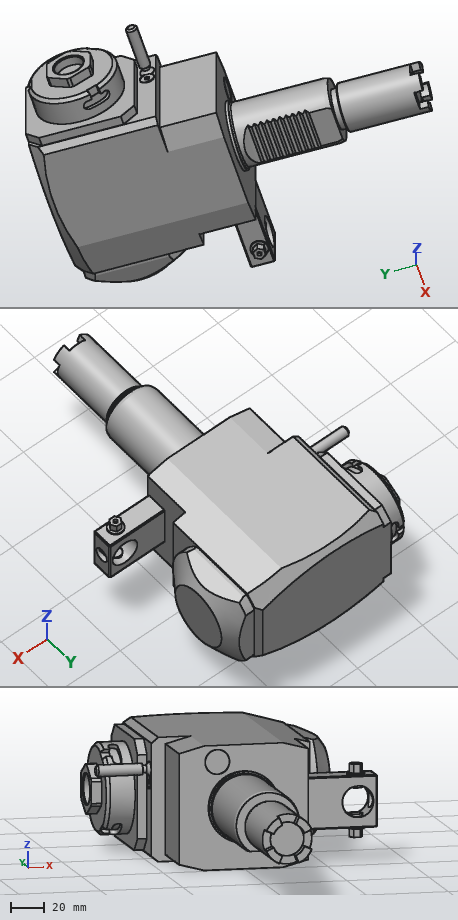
import cadquery as cq
import math


half_height = 37.5
back_y = 114.0
step_y = 35.0
head_left_x = -48.0
head_right_x = 48.6
base_half_width = 39.4
flat_half_width = 24.0
side_slope = math.tan(math.radians(15))
edge_chamfer_x = 4.2
edge_chamfer_z = 3.5
back_right_chamfer = 3.5
crown_center_x = -9.5
crown_depth = 3.7
crown_radius = 187.5
marker_x = -16.0
marker_z = 27.5
marker_radius = 7.5
marker_depth = 0.5

spindle_y = 80.1
plate_left_x = -53.7
plate_front_y = 46.5
plate_half_height = 33.5
plate_chamfer = 8.3
collar_left_x = -70.9
collar_radius = 27.5
collar_chamfer = 2.0
key_slot_count = 3
key_slot_floor_radius = 24.8
key_slot_notch_width = 6.5
key_slot_length = 18.0
key_slot_width = 5.5
key_slot_center_x = -62.5
hex_left_x = -77.0
hex_across_flats = 27.0
hex_corner_radius = 15.0
hex_bore_radius = 9.0
hex_bore_chamfer = 0.7
hex_bore_depth = 6.3

cap_radius = 37.5
cap_end_radius = 21.5
cap_cone_x = 55.3
cap_right_x = 66.7
cap_back_y = 110.5
cap_half_height = 29.6
cap_slope_x = 51.2

pin_y = 40.3
pin_z = 17.8
pin_left_x = -80.5
pin_right_x = -52.5
pin_radius = 3.5
pin_chamfer = 1.2
pin_neck_radius = 2.3
pin_foot_x = -50.0
pin_foot_radius = 4.5
plug_z = 10.2
plug_height = 0.5
plug_hole_radius = 1.5

flange_radius = 21.5
flange_length = 1.9
shank_radius = 20.0
shank_root_radius = 20.4
shank_root_y = -3.0
shank_end_y = -62.8
shank_end_chamfer_length = 2.8
shank_end_chamfer_depth = 0.7
neck_radius = 12.5
flat_z = -15.7
flat_start_y = -9.7
flat_run_in_slope = 1.1
tooth_pitch = 4.0
tooth_count = 10
tooth_depth = 1.5

shaft_start_y = -66.7
shaft_end_y = -117.6
shaft_radius = 15.0
shaft_chamfer = 0.7
claw_length = 5.0
claw_inner_radius = 10.2
claw_bore_depth = claw_length + 0.5
claw_slot_count = 4
claw_slot_half_angle = math.radians(23.5)

bar_right_x = 81.7
bar_front_y = 1.0
bar_back_y = 16.0
bar_half_height = 15.7
bar_chamfer = 0.7
bar_bore_x = 70.0
bar_bore_radius = 9.5
outlet_radius = 4.9
screw_y = 7.2
screw_radius = 4.2
screw_tip_z = 7.9
washer_radius = 5.3
washer_height = 1.0
head_radius = 4.0
head_top_z = 22.0
socket_radius = 1.5
socket_depth = 2.3


def block(x0, x1, y0, y1, z0, z1):
    return cq.Workplane("XY").box(x1 - x0, y1 - y0, z1 - z0, centered=False).translate((x0, y0, z0))


def turned_x(points, y, z):
    """Solid turned about a line along X; points are (x, radius)."""
    profile = cq.Workplane("XY").polyline(points).close()
    return profile.revolve(360, (0, 0, 0), (1, 0, 0)).translate((0, y, z))


def cylinder_x(radius, x0, x1, y, z):
    return cq.Workplane("YZ", origin=(x0, y, z)).circle(radius).extrude(x1 - x0)


def cylinder_z(radius, z0, z1, x, y):
    return cq.Workplane("XY", origin=(x, y, z0)).circle(radius).extrude(z1 - z0)


def cylinder_y(radius, y0, y1, x, z):
    return cq.Workplane("XZ", origin=(x, y1, z)).circle(radius).extrude(y1 - y0)


def extruded_y(points, y0, y1):
    """Prism along Y; points are (x, z) of its upper half, mirrored about Z = 0."""
    outline = points + [(x, -z) for x, z in reversed(points)]
    return cq.Workplane("XZ", origin=(0, y1, 0)).polyline(outline).close().extrude(y1 - y0)


def slope_z(x):
    """Height of the sloping side faces at distance x from the shank axis."""
    return half_height - (x - flat_half_width) * side_slope


def make_housing():
    head = extruded_y(
        [
            (head_left_x, half_height - edge_chamfer_z),
            (head_left_x + edge_chamfer_x, half_height),
            (flat_half_width, half_height),
            (head_right_x, slope_z(head_right_x)),
        ],
        step_y,
        back_y,
    )
    head = head.edges(">X and >Y").chamfer(back_right_chamfer)
    base = extruded_y(
        [
            (-base_half_width, slope_z(base_half_width)),
            (-flat_half_width, half_height),
            (flat_half_width, half_height),
            (base_half_width, slope_z(base_half_width)),
        ],
        0,
        step_y,
    )
    crown_reach = (half_height + back_y - crown_depth) / math.sqrt(2)
    for side in (1, -1):
        crown_plane = cq.Plane((crown_center_x, 0, 0), (1, 0, 0), (0, -side, 1))
        crown = (
            cq.Workplane(crown_plane)
            .center(0, crown_reach - crown_radius)
            .circle(crown_radius)
            .extrude(2 * back_y, both=True)
        )
        head = head.intersect(crown)
    marker = cylinder_y(marker_radius, 0, marker_depth, marker_x, marker_z)
    return head.union(base).cut(marker)


def make_plate():
    plate = block(plate_left_x, head_left_x, plate_front_y, back_y, -plate_half_height, plate_half_height)
    return plate.edges("|X").chamfer(plate_chamfer)


def make_collar():
    collar = turned_x(
        [
            (collar_left_x, 0),
            (collar_left_x, collar_radius - collar_chamfer),
            (collar_left_x + collar_chamfer, collar_radius),
            (plate_left_x, collar_radius),
            (plate_left_x, 0),
        ],
        0,
        0,
    )
    slot_plane = cq.Workplane("XZ", origin=(0, collar_radius, 0))
    key_slot = (
        slot_plane.center(key_slot_center_x, 0)
        .slot2D(key_slot_length, key_slot_width, 90)
        .extrude(collar_radius)
    )
    key_slot = key_slot.cut(cylinder_x(key_slot_floor_radius, collar_left_x, plate_left_x, 0, 0))
    notch = block(
        collar_left_x,
        key_slot_center_x,
        key_slot_floor_radius,
        collar_radius,
        -key_slot_notch_width / 2,
        key_slot_notch_width / 2,
    )
    cutter = key_slot.union(notch)
    for index in range(key_slot_count):
        angle = 360 * index / key_slot_count
        collar = collar.cut(cutter.rotate((0, 0, 0), (1, 0, 0), angle))
    return collar.translate((0, spindle_y, 0))


def make_hex():
    length = collar_left_x - hex_left_x
    across_corners = hex_across_flats / math.cos(math.pi / 6)
    hexagon = (
        cq.Workplane("YZ", origin=(hex_left_x, spindle_y, 0))
        .transformed(rotate=(0, 0, 90))
        .polygon(6, across_corners)
        .extrude(length)
    )
    return hexagon.intersect(cylinder_x(hex_corner_radius, hex_left_x, collar_left_x, spindle_y, 0))


def make_hex_bore():
    mouth_radius = hex_bore_radius + hex_bore_chamfer
    floor_x = hex_left_x + hex_bore_depth
    return turned_x(
        [
            (hex_left_x, 0),
            (hex_left_x, mouth_radius),
            (hex_left_x + hex_bore_chamfer, hex_bore_radius),
            (floor_x, hex_bore_radius),
            (floor_x, 0),
        ],
        spindle_y,
        0,
    )


def make_cap():
    cap = turned_x(
        [
            (head_right_x, 0),
            (head_right_x, cap_radius),
            (cap_cone_x, cap_radius),
            (cap_right_x, cap_end_radius),
            (cap_right_x, 0),
        ],
        spindle_y,
        0,
    )
    end_z = cap_half_height - (cap_right_x - cap_slope_x) * side_slope
    envelope = extruded_y(
        [
            (head_right_x, cap_half_height),
            (cap_slope_x, cap_half_height),
            (cap_right_x, end_z),
        ],
        0,
        cap_back_y,
    )
    return cap.intersect(envelope)


def make_pin():
    return turned_x(
        [
            (pin_left_x, 0),
            (pin_left_x, pin_radius - pin_chamfer),
            (pin_left_x + pin_chamfer, pin_radius),
            (pin_right_x, pin_radius),
            (pin_right_x, pin_neck_radius),
            (pin_foot_x, pin_neck_radius),
            (head_left_x, pin_foot_radius),
            (head_left_x, 0),
        ],
        pin_y,
        pin_z,
    )


def make_plug():
    left_x = head_left_x - plug_height
    plug = cylinder_x(pin_foot_radius, left_x, head_left_x, pin_y, plug_z)
    return plug.cut(cylinder_x(plug_hole_radius, left_x, head_left_x, pin_y, plug_z))


def make_shank():
    """Flange, shank, neck and drive shaft, turned about Y, with the toothed flat."""
    profile = [
        (0, 0),
        (flange_radius, 0),
        (flange_radius, -flange_length),
        (shank_root_radius, -flange_length),
        (shank_radius, shank_root_y),
        (shank_radius, shank_end_y + shank_end_chamfer_length),
        (shank_radius - shank_end_chamfer_depth, shank_end_y),
        (neck_radius, shank_end_y),
        (neck_radius, shaft_start_y),
        (shaft_radius - shaft_chamfer, shaft_start_y),
        (shaft_radius, shaft_start_y - shaft_chamfer),
        (shaft_radius, shaft_end_y),
        (0, shaft_end_y),
    ]
    shank = cq.Workplane("XY").polyline(profile).close().revolve(360, (0, 0, 0), (0, 1, 0))

    floor_z = -shank_radius - tooth_depth
    run_in_y = flat_start_y + (flat_z - floor_z) / flat_run_in_slope
    section = [(run_in_y, floor_z), (flat_start_y, flat_z)]
    for index in range(tooth_count):
        y = flat_start_y - index * tooth_pitch
        section.append((y - tooth_pitch / 2, flat_z + tooth_depth))
        section.append((y - tooth_pitch, flat_z))
    section += [(shank_end_y, flat_z), (shank_end_y, floor_z)]
    rack = cq.Workplane("YZ").polyline(section).close().extrude(shank_radius, both=True)
    return shank.cut(rack)


def cut_claws(body):
    """Open the shaft end into a ring and slot it into claws."""
    floor_y = shaft_end_y + claw_length
    body = body.cut(cylinder_y(claw_inner_radius, shaft_end_y, shaft_end_y + claw_bore_depth, 0, 0))
    reach = 2 * shaft_radius
    half_width = reach * math.tan(claw_slot_half_angle)
    wedge = (
        cq.Workplane("XZ", origin=(0, floor_y, 0))
        .polyline([(0, 0), (reach, half_width), (reach, -half_width)])
        .close()
        .extrude(claw_length)
    )
    for index in range(claw_slot_count):
        body = body.cut(wedge.rotate((0, 0, 0), (0, 1, 0), 360 * index / claw_slot_count))
    return body


def make_screw():
    """Upper clamp screw of the side bar, with washer and socket."""
    washer_top = bar_half_height + washer_height
    screw = cylinder_z(screw_radius, screw_tip_z, bar_half_height, bar_bore_x, screw_y)
    screw = screw.union(cylinder_z(washer_radius, bar_half_height, washer_top, bar_bore_x, screw_y))
    head = cq.Workplane("XY", origin=(bar_bore_x, screw_y, washer_top)).polygon(6, 2 * head_radius)
    screw = screw.union(head.extrude(head_top_z - washer_top))
    return screw.cut(cylinder_z(socket_radius, head_top_z - socket_depth, head_top_z, bar_bore_x, screw_y))


def make_bar():
    bar = block(base_half_width, bar_right_x, bar_front_y, bar_back_y, -bar_half_height, bar_half_height)
    bar = bar.edges("|X or >X").chamfer(bar_chamfer)
    bar = bar.cut(cylinder_y(bar_bore_radius, bar_front_y, bar_back_y, bar_bore_x, 0))
    outlet_y = (bar_front_y + bar_back_y) / 2
    bar = bar.cut(cylinder_x(outlet_radius, bar_bore_x, bar_right_x, outlet_y, 0))
    screw = make_screw()
    return bar.union(screw).union(screw.mirror("XY"))


result = make_housing()
for piece in (
    make_plate(),
    make_collar(),
    make_hex(),
    make_cap(),
    make_pin(),
    make_plug(),
    cut_claws(make_shank()),
    make_bar(),
):
    result = result.union(piece)
result = result.cut(make_hex_bore())